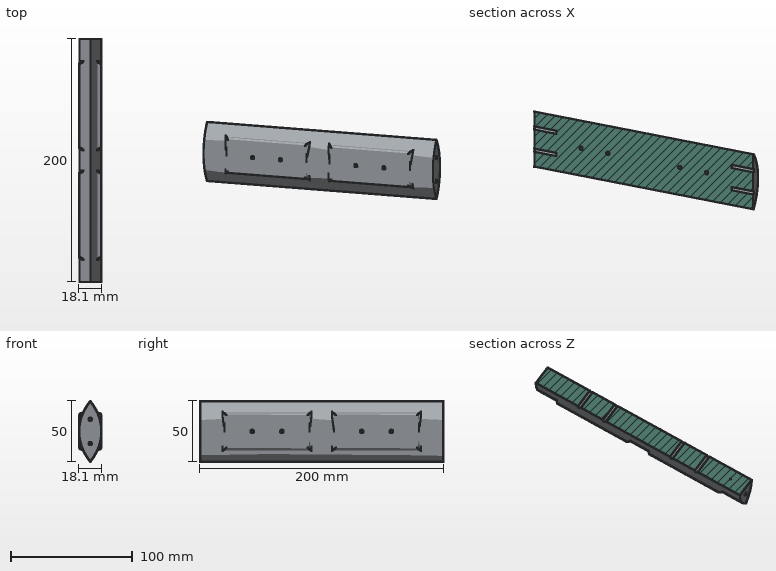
import cadquery as cq
import math

LENGTH = 200.0
HEIGHT = 50.0
LENS_THICKNESS = 18.1
PAD_THICKNESS = 18.12

PAD_LENGTH = 70.0
PAD_HEIGHT = 30.0
PAD_SPACING = 90.0
BLEND_RADIUS = 2.0

TOE_SINK = 0.01

HOLE_DIAMETER = 2.5
PAD_HOLE_SPACING = 24.4
END_HOLE_SPACING = 20.0
END_HOLE_DEPTH = 20.0

LENS_BULGE = LENS_THICKNESS / 2
LENS_RADIUS = ((HEIGHT / 2) ** 2 + LENS_BULGE ** 2) / (2 * LENS_BULGE)
ARC_OFFSET = LENS_RADIUS - LENS_BULGE

PAD_FACE = PAD_THICKNESS / 2
PAD_CENTRES_Y = (-PAD_SPACING / 2, PAD_SPACING / 2)

BLEND_TOP = PAD_HEIGHT / 2 + BLEND_RADIUS
SECTIONS_PER_HALF = 5
SECTION_HEIGHTS = [
    BLEND_TOP * i / SECTIONS_PER_HALF
    for i in range(-SECTIONS_PER_HALF, SECTIONS_PER_HALF + 1)
]


def lens_surface_x(z):
    """Half thickness of the lens at height z."""
    return math.sqrt(LENS_RADIUS ** 2 - z ** 2) - ARC_OFFSET


def arc_middle(centre, start, end):
    """Middle point of the shorter arc of radius BLEND_RADIUS from start to end."""
    dx = (start[0] + end[0]) / 2 - centre[0]
    dy = (start[1] + end[1]) / 2 - centre[1]
    scale = BLEND_RADIUS / math.hypot(dx, dy)
    return (centre[0] + dx * scale, centre[1] + dy * scale)


def blend_outline(workplane, rim_centre, foot_centre, toe):
    """Closed outline, symmetric about local X, whose two flanks run from toe to pad face in tangent arcs.

    The convex rim arc meets the concave foot arc midway between their centres.
    """
    face = (PAD_FACE, rim_centre[1])
    joint = ((rim_centre[0] + foot_centre[0]) / 2, (rim_centre[1] + foot_centre[1]) / 2)
    foot_middle = arc_middle(foot_centre, toe, joint)
    rim_middle = arc_middle(rim_centre, joint, face)

    def mirrored(point):
        return (point[0], -point[1])

    return (
        workplane
        .moveTo(0, -toe[1])
        .lineTo(*mirrored(toe))
        .threePointArc(mirrored(foot_middle), mirrored(joint))
        .threePointArc(mirrored(rim_middle), mirrored(face))
        .lineTo(*face)
        .threePointArc(rim_middle, joint)
        .threePointArc(foot_middle, toe)
        .lineTo(0, toe[1])
        .close()
    )


def make_lens():
    return (
        cq.Workplane("XZ", origin=(0, LENGTH / 2, 0))
        .moveTo(0, -HEIGHT / 2)
        .threePointArc((LENS_BULGE, 0), (0, HEIGHT / 2))
        .threePointArc((-LENS_BULGE, 0), (0, -HEIGHT / 2))
        .close()
        .extrude(LENGTH)
    )


def make_side_blends():
    """Bar along Y with the pad's cross-section, longer than the pad."""
    foot_z = PAD_HEIGHT / 2 + BLEND_RADIUS
    centre_distance = LENS_RADIUS + BLEND_RADIUS
    foot_x = math.sqrt(centre_distance ** 2 - foot_z ** 2) - ARC_OFFSET
    toe_z = foot_z * LENS_RADIUS / centre_distance
    toe = (lens_surface_x(toe_z), toe_z)
    rim_x = PAD_FACE - BLEND_RADIUS
    rim_z = foot_z - math.sqrt((2 * BLEND_RADIUS) ** 2 - (foot_x - rim_x) ** 2)
    bar_length = PAD_LENGTH + 4 * BLEND_RADIUS
    plane = cq.Workplane("XZ", origin=(0, bar_length / 2, 0))
    return blend_outline(plane, (rim_x, rim_z), (foot_x, foot_z), toe).extrude(bar_length)


def make_end_blends():
    """Body whose ends blend from the pad face to the lens, wider where the pad stands higher."""
    plane = cq.Workplane("XY", origin=(0, 0, SECTION_HEIGHTS[0]))
    previous_z = SECTION_HEIGHTS[0]
    for z in SECTION_HEIGHTS:
        toe_x = lens_surface_x(z) - TOE_SINK
        step = PAD_FACE - toe_x
        half_width = math.sqrt(step * (4 * BLEND_RADIUS - step)) / 2
        rim_centre = (PAD_FACE - BLEND_RADIUS, PAD_LENGTH / 2 - half_width)
        toe = (toe_x, PAD_LENGTH / 2 + half_width)
        foot_centre = (toe_x + BLEND_RADIUS, toe[1])
        plane = blend_outline(plane.workplane(offset=z - previous_z), rim_centre, foot_centre, toe)
        previous_z = z
    return plane.loft()


def make_pad():
    """One pad on the +X side, centred on Y = 0."""
    return make_side_blends().intersect(make_end_blends())


def make_pad_holes():
    """Holes along X through the lens and both pads of each pair."""
    points = [
        (centre + side * PAD_HOLE_SPACING / 2, 0)
        for centre in PAD_CENTRES_Y
        for side in (-1, 1)
    ]
    return (
        cq.Workplane("YZ", origin=(-PAD_FACE, 0, 0))
        .pushPoints(points)
        .circle(HOLE_DIAMETER / 2)
        .extrude(PAD_THICKNESS)
    )


def make_end_holes():
    """Blind holes along Y in both end faces."""
    points = [(0, -END_HOLE_SPACING / 2), (0, END_HOLE_SPACING / 2)]
    holes = (
        cq.Workplane("XZ", origin=(0, -LENGTH / 2, 0))
        .pushPoints(points)
        .circle(HOLE_DIAMETER / 2)
        .extrude(-END_HOLE_DEPTH)
    )
    return holes.union(holes.mirror("XZ"))


pad = make_pad()
result = make_lens()
for centre_y in PAD_CENTRES_Y:
    result = result.union(pad.translate((0, centre_y, 0)))
    result = result.union(pad.mirror("YZ").translate((0, centre_y, 0)))
result = result.cut(make_pad_holes()).cut(make_end_holes())